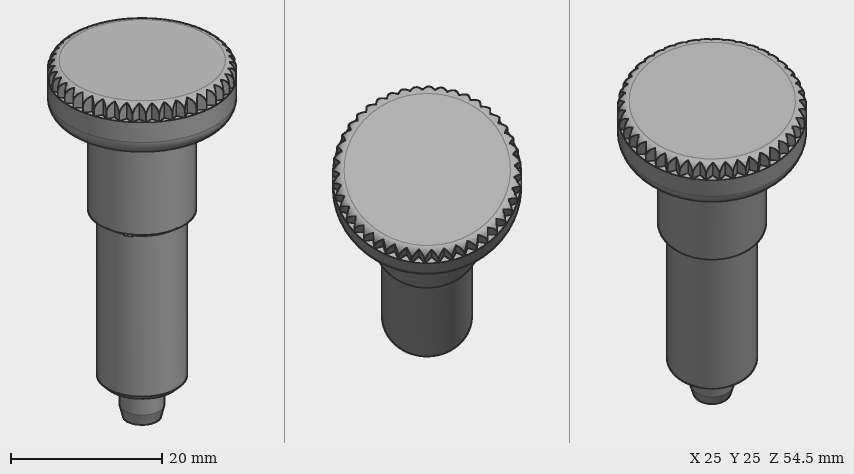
import cadquery as cq
import math

diagonal = math.sqrt(0.5)

sleeve_radius = 6.0
sleeve_height = 26.0
sleeve_chamfer = 0.85

notch_width = 1.2
notch_depth = 1.0
notch_floor_radius = 4.5

plunger_radius = 3.0
plunger_reach = 6.0
taper_top_z = -3.6
taper_bottom_z = -5.4
taper_end_radius = 2.55

knob_top_z = 48.5
knob_radius = 12.5
knob_height = 8.0
knob_bottom_z = knob_top_z - knob_height
top_round = 1.5
bottom_round = 2.5
neck_radius = 7.2
neck_fillet = 1.0

groove_count = 44
groove_root_radius = 11.6
knurl_height = 2.5
groove_overrun = 0.5


def make_sleeve():
    """Chamfered tube that guides the plunger, notched at its upper rim."""
    sleeve = (
        cq.Workplane("XY")
        .circle(sleeve_radius)
        .extrude(sleeve_height)
        .faces("<Z or >Z")
        .chamfer(sleeve_chamfer)
    )
    bore = cq.Workplane("XY").circle(plunger_radius).extrude(sleeve_height)
    notch = (
        cq.Workplane("XY")
        .workplane(offset=sleeve_height - notch_depth)
        .center(0, -sleeve_radius / 2)
        .rect(notch_width, sleeve_radius)
        .extrude(notch_depth)
    )
    notch_floor = cq.Workplane("XY").circle(notch_floor_radius).extrude(sleeve_height)
    return sleeve.cut(bore).cut(notch.cut(notch_floor))


def tip_arc_middle():
    """Point halfway along the shallow arc from the tip to the end of the taper."""
    rise = taper_bottom_z + plunger_reach
    dome_radius = (taper_end_radius**2 + rise**2) / (2 * rise)
    half_angle = math.asin(taper_end_radius / dome_radius) / 2
    return (
        dome_radius * math.sin(half_angle),
        dome_radius * (1 - math.cos(half_angle)) - plunger_reach,
    )


def make_plain_knob():
    """Turned knob and plunger in one piece, before knurling."""
    bottom_center = (knob_radius - bottom_round, knob_bottom_z + bottom_round)
    top_center = (knob_radius - top_round, knob_top_z - top_round)
    neck_center = (neck_radius + neck_fillet, knob_bottom_z - neck_fillet)
    half_profile = (
        cq.Workplane("XZ")
        .moveTo(0, -plunger_reach)
        .threePointArc(tip_arc_middle(), (taper_end_radius, taper_bottom_z))
        .lineTo(plunger_radius, taper_top_z)
        .lineTo(plunger_radius, sleeve_height)
        .lineTo(neck_radius, sleeve_height)
        .lineTo(neck_radius, neck_center[1])
        .threePointArc(
            (neck_center[0] - neck_fillet * diagonal, neck_center[1] + neck_fillet * diagonal),
            (neck_center[0], knob_bottom_z),
        )
        .lineTo(bottom_center[0], knob_bottom_z)
        .threePointArc(
            (bottom_center[0] + bottom_round * diagonal, bottom_center[1] - bottom_round * diagonal),
            (knob_radius, bottom_center[1]),
        )
        .lineTo(knob_radius, top_center[1])
        .threePointArc(
            (top_center[0] + top_round * diagonal, top_center[1] + top_round * diagonal),
            (top_center[0], knob_top_z),
        )
        .lineTo(0, knob_top_z)
        .close()
    )
    return half_profile.revolve(360, (0, 0, 0), (0, 1, 0))


def make_knurl_grooves():
    """List of V-groove prisms, spaced evenly with a root on each axis."""
    mouth_radius = knob_radius + groove_overrun
    mouth_half_width = mouth_radius - groove_root_radius
    groove = (
        cq.Workplane("XY")
        .workplane(offset=knob_top_z - knurl_height)
        .moveTo(groove_root_radius, 0)
        .lineTo(mouth_radius, mouth_half_width)
        .lineTo(mouth_radius, -mouth_half_width)
        .close()
        .extrude(knurl_height + groove_overrun)
    )
    pitch = 360 / groove_count
    return [groove.rotate((0, 0, 0), (0, 0, 1), i * pitch).val() for i in range(groove_count)]


def make_knob():
    """Knob with plunger, knurled around the upper rim."""
    return cq.Workplane(make_plain_knob().val().cut(*make_knurl_grooves()))


sleeve = make_sleeve()
knob = make_knob()
result = cq.Compound.makeCompound([*sleeve.vals(), *knob.vals()])